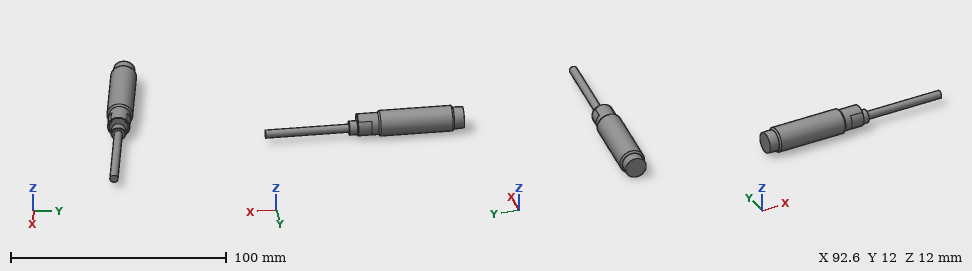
import cadquery as cq
import math

sleeve_start = 4.7
sleeve_end = 40.0
window_start = 43.3
tail_end = 49.8
collar_end = 53.6
cable_end = 92.6

sleeve_radius = 6.0
tail_radius = 5.2
cap_end_radius = 5.0
cap_middle_radius = 5.2
collar_radius = 3.3
cable_radius = 1.9

sleeve_chamfer = sleeve_radius - tail_radius
rear_chamfer = 0.3
cable_offset = 1.5
window_depth = 0.9
window_gap_angle = 90.0


def cylinder(start, end, radius, z=0.0):
    """Cylinder along X from start to end."""
    return cq.Workplane("YZ", origin=(start, 0, z)).circle(radius).extrude(end - start)


def make_cap():
    """Sensing cap with a slightly bulging side."""
    return (
        cq.Workplane("XY")
        .moveTo(0, 0)
        .lineTo(0, cap_end_radius)
        .threePointArc((sleeve_start / 2, cap_middle_radius), (sleeve_start, cap_end_radius))
        .lineTo(sleeve_start, 0)
        .close()
        .revolve(360, (0, 0, 0), (1, 0, 0))
    )


def make_full_housing():
    """Sleeve, tail and eccentric collar, before the window is let in."""
    sleeve = cylinder(sleeve_start, sleeve_end, sleeve_radius).edges().chamfer(sleeve_chamfer)
    tail = cylinder(sleeve_end, tail_end, tail_radius).faces(">X").chamfer(rear_chamfer)
    collar = cylinder(tail_end, collar_end, collar_radius, -cable_offset).faces(">X").chamfer(rear_chamfer)
    return sleeve.union(tail).union(collar)


def make_window_zone():
    """Three-quarter ring that the window fills, open around the top."""
    length = tail_end - window_start
    ring = cylinder(window_start, tail_end, sleeve_radius).cut(
        cylinder(window_start, tail_end, tail_radius - window_depth)
    )
    wedge_height = 2 * sleeve_radius
    wedge_half_width = wedge_height * math.tan(math.radians(window_gap_angle / 2))
    wedge = (
        cq.Workplane("YZ", origin=(window_start, 0, 0))
        .polyline([(0, 0), (wedge_half_width, wedge_height), (-wedge_half_width, wedge_height)])
        .close()
        .extrude(length)
    )
    return ring.cut(wedge)


cap = make_cap()

window_zone = make_window_zone()
full_housing = make_full_housing()
housing = full_housing.cut(window_zone).solids()
window = full_housing.intersect(window_zone).solids()

cable = cylinder(collar_end, cable_end, cable_radius, -cable_offset)

result = cq.Compound.makeCompound([cap.val(), housing.val(), window.val(), cable.val()])